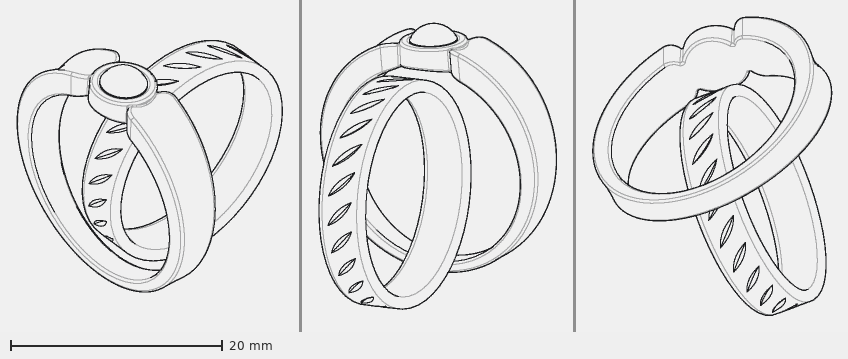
import cadquery as cq
import math

BAND_OUTER_RADIUS = 10.91
BAND_INNER_RADIUS = 9.75
BAND_WIDTH = 4.9

GROOVE_COUNT = 24
GROOVE_SLANT = 45
GROOVE_LENGTH = 3.55
GROOVE_WIDTH = 0.72
GROOVE_DEPTH = 0.3
WHEEL_RIM_HEIGHT = 0.77

SIGNET_TILT = 5.4
SIGNET_CENTRE = (0, -8.62, 1.55)
BORE_RADIUS = 9.75
OUTER_RADIUS = 11.76
OUTER_CENTRE_Z = 0.93
SIGNET_HALF_WIDTH = 2.05
SIDE_ANGLE = 4.1
SIGNET_FILLET = 0.23

HOLLOW_START = 60
ARM_END_ANGLE = 175
HOLLOW_DEPTH = 0.88
HOLLOW_LEAST_DEPTH = 0.03

TRIM_SECTIONS = 10
TRIM_WIDENING = 1.2
TRIM_MARGIN = 1.03

ARM_CORNER_X = 4.33
ARM_CORNER_RADIUS = 1.7
ARM_CORNER_ANGLE = 75

COLLAR_RADIUS = 3.22
COLLAR_TOP = 11.92
COLLAR_CORNER_FILLET = 0.15
GEM_RADIUS = 2.27
GEM_HEIGHT = 1.47
SEAT_DEPTH = 0.52

CLEAR = 5.15
RIM_ZONE = 0.7
TOLERANCE = 0.013


def half_width(z):
    """Half of the tapered signet ring's width at height z."""
    return SIGNET_HALF_WIDTH + z * math.tan(math.radians(SIDE_ANGLE))




def groove_wheel():
    """Sharp-rimmed wheel standing over the top of the band, whose rim cuts one lens-shaped groove."""
    half_length = GROOVE_LENGTH / 2
    band_curvature = math.sin(math.radians(GROOVE_SLANT)) ** 2 / BAND_OUTER_RADIUS
    wheel_radius = 1 / (2 * GROOVE_DEPTH / half_length**2 - band_curvature)
    half_thickness = WHEEL_RIM_HEIGHT * GROOVE_WIDTH / 2 / GROOVE_DEPTH
    hub_radius = wheel_radius - WHEEL_RIM_HEIGHT
    wheel = (
        cq.Workplane("XZ")
        .moveTo(0, half_thickness)
        .lineTo(hub_radius, half_thickness)
        .lineTo(wheel_radius, 0)
        .lineTo(hub_radius, -half_thickness)
        .lineTo(0, -half_thickness)
        .close()
        .revolve(360, (0, 0), (0, 1))
    )
    return (
        wheel.rotate((0, 0, 0), (1, 0, 0), 90)
        .rotate((0, 0, 0), (0, 0, 1), GROOVE_SLANT)
        .translate((0, 0, BAND_OUTER_RADIUS - GROOVE_DEPTH + wheel_radius))
    )


def make_band():
    """Band with fully rounded side edges and a row of grooves all around."""
    thickness = BAND_OUTER_RADIUS - BAND_INNER_RADIUS
    middle_radius = BAND_INNER_RADIUS + thickness / 2
    band = (
        cq.Workplane("XZ", origin=(0, 0, middle_radius))
        .slot2D(BAND_WIDTH, thickness)
        .revolve(360, (0, -middle_radius), (1, -middle_radius))
    )
    wheel = groove_wheel()
    for i in range(GROOVE_COUNT):
        band = band.cut(wheel.rotate((0, 0, 0), (1, 0, 0), i * 360 / GROOVE_COUNT))
    return band




def tapered_disc():
    """Oversized disc blank for the ring, narrower at the bottom than at the top."""
    blank_radius = OUTER_RADIUS + TRIM_MARGIN
    low = OUTER_CENTRE_Z - blank_radius
    high = OUTER_CENTRE_Z + blank_radius
    wedge = (
        cq.Workplane("YZ")
        .moveTo(-half_width(low), low)
        .lineTo(half_width(low), low)
        .lineTo(half_width(high), high)
        .lineTo(-half_width(high), high)
        .close()
        .extrude(blank_radius, both=True)
    )
    disc = (
        cq.Workplane("XZ")
        .center(0, OUTER_CENTRE_Z)
        .circle(blank_radius)
        .extrude(CLEAR, both=True)
    )
    return disc.intersect(wedge)


def trim_section(degrees):
    """Section of the outer trim at an angle from the bottom: an arc floor open to the outside."""
    share = max(0, (abs(degrees) - HOLLOW_START) / (ARM_END_ANGLE - HOLLOW_START))
    depth = HOLLOW_LEAST_DEPTH + HOLLOW_DEPTH * share
    floor = OUTER_RADIUS - depth
    rim = floor + depth * TRIM_WIDENING**2
    outside = OUTER_RADIUS + 2 * TRIM_MARGIN

    angle = math.radians(degrees)
    edge = half_width(OUTER_CENTRE_Z - OUTER_RADIUS * math.cos(angle))
    reach = edge * TRIM_WIDENING
    plane = cq.Plane(
        origin=(0, 0, OUTER_CENTRE_Z),
        xDir=(math.sin(angle), 0, -math.cos(angle)),
        normal=(math.cos(angle), 0, math.sin(angle)),
    )
    return (
        cq.Workplane(plane)
        .moveTo(rim, -reach)
        .threePointArc((floor, 0), (rim, reach))
        .lineTo(outside, reach)
        .lineTo(outside, -reach)
        .close()
        .val()
    )


def outer_trim():
    """C-shaped cutter that leaves the outer face: round below, hollowed along both arms."""
    sections = []
    for i in range(-TRIM_SECTIONS, TRIM_SECTIONS + 1):
        sections.append(trim_section(i / TRIM_SECTIONS * ARM_END_ANGLE))
    return cq.Workplane(cq.Solid.makeLoft(sections))


def arm_corner_point(turn):
    """Point on the rounded arm end, turned by an angle in radians from the straight side."""
    return (
        ARM_CORNER_X - ARM_CORNER_RADIUS * math.sin(turn),
        SIGNET_HALF_WIDTH - ARM_CORNER_RADIUS * (1 - math.cos(turn)),
    )


def arm_end_cutter():
    """Cutter parallel to the +Y side face that rounds off both arm ends beside the collar."""
    full_turn = math.radians(ARM_CORNER_ANGLE)
    middle_x, middle_y = arm_corner_point(full_turn / 2)
    end_x, end_y = arm_corner_point(full_turn)
    tilt = math.radians(SIDE_ANGLE)
    plane = cq.Plane(origin=(0, 0, 0), xDir=(1, 0, 0), normal=(0, math.sin(tilt), math.cos(tilt)))
    return (
        cq.Workplane(plane)
        .moveTo(ARM_CORNER_X, SIGNET_HALF_WIDTH)
        .threePointArc((middle_x, middle_y), (end_x, end_y))
        .lineTo(-end_x, end_y)
        .threePointArc((-middle_x, middle_y), (-ARM_CORNER_X, SIGNET_HALF_WIDTH))
        .lineTo(-ARM_CORNER_X, CLEAR)
        .lineTo(ARM_CORNER_X, CLEAR)
        .close()
        .extrude(OUTER_RADIUS + CLEAR)
    )


def fillet_where(body, wanted, radius):
    """Fillet every edge of the body for which wanted(edge) is true."""
    chosen = [edge for edge in body.edges().vals() if wanted(edge)]
    return body.newObject(chosen).fillet(radius)


def is_rim_edge(edge):
    """True where the outer face meets the side faces and the rounded arm ends."""
    middle = edge.positionAt(0.5)
    from_outer_centre = math.hypot(middle.x, middle.z - OUTER_CENTRE_Z)
    return abs(middle.y) > SIGNET_HALF_WIDTH / 2 and from_outer_centre > OUTER_RADIUS - RIM_ZONE


def is_collar_corner(edge):
    """True for the upright inner corners between the collar wall and the arm ends."""
    points = edge.positions([0, 0.5, 1])
    on_wall = all(abs(math.hypot(p.x, p.y) - COLLAR_RADIUS) < TOLERANCE for p in points)
    off_middle = all(abs(p.y) > COLLAR_RADIUS / 3 for p in points)
    return on_wall and off_middle and abs(points[0].z - points[-1].z) > COLLAR_RADIUS / 3


def is_bore_edge(edge):
    """True for every edge that lies on the bore."""
    points = edge.positions([0, 0.3, 0.5, 0.8, 1])
    return all(abs(math.hypot(p.x, p.z) - BORE_RADIUS) < TOLERANCE for p in points)


def is_seat_edge(edge):
    """True for the rim of the gem seat in the top of the collar."""
    middle = edge.positionAt(0.5)
    on_seat_wall = abs(math.hypot(middle.x, middle.y) - GEM_RADIUS) < TOLERANCE
    return on_seat_wall and edge.geomType() == "CIRCLE" and abs(middle.z - COLLAR_TOP) < TOLERANCE


def make_arms():
    """Ring blank with hollowed, rounded arms and room for the collar between them."""
    bore_free_blank = tapered_disc().cut(outer_trim())
    end_cutter = arm_end_cutter()
    arms = bore_free_blank.cut(end_cutter).cut(end_cutter.mirror("XZ"))
    arms = fillet_where(arms, is_rim_edge, SIGNET_FILLET)
    return arms.cut(cq.Workplane("XY").circle(COLLAR_RADIUS).extrude(OUTER_RADIUS + CLEAR))


def make_signet(gem):
    """Arms and collar as one ring, bored through, with a seat that fits the gem."""
    collar = (
        cq.Workplane("XY")
        .circle(COLLAR_RADIUS)
        .extrude(COLLAR_TOP)
        .faces(">Z")
        .edges()
        .fillet(SIGNET_FILLET)
    )
    bore = cq.Workplane("XZ").circle(BORE_RADIUS).extrude(CLEAR, both=True)
    signet = make_arms().union(collar).cut(bore)
    signet = fillet_where(signet, is_collar_corner, COLLAR_CORNER_FILLET)
    signet = fillet_where(signet, is_bore_edge, SIGNET_FILLET)
    signet = signet.cut(gem)
    return fillet_where(signet, is_seat_edge, SIGNET_FILLET)




def make_gem():
    """Round gem with a flat base in the collar and a spherical dome above it."""
    dome_radius = (GEM_RADIUS**2 + GEM_HEIGHT**2) / (2 * GEM_HEIGHT)
    dome_centre_z = COLLAR_TOP + GEM_HEIGHT - dome_radius
    half_arc = math.asin(GEM_RADIUS / dome_radius) / 2
    dome_middle = (dome_radius * math.sin(half_arc), dome_centre_z + dome_radius * math.cos(half_arc))
    return (
        cq.Workplane("XZ")
        .moveTo(0, COLLAR_TOP - SEAT_DEPTH)
        .lineTo(GEM_RADIUS, COLLAR_TOP - SEAT_DEPTH)
        .lineTo(GEM_RADIUS, COLLAR_TOP)
        .threePointArc(dome_middle, (0, COLLAR_TOP + GEM_HEIGHT))
        .close()
        .revolve(360, (0, 0), (0, 1))
    )




def place(body):
    """Tilt a body of the signet ring about X and move it to the ring's place."""
    return body.rotate((0, 0, 0), (1, 0, 0), -SIGNET_TILT).translate(SIGNET_CENTRE)


band = make_band()
upright_gem = make_gem()
signet = place(make_signet(upright_gem))
gem = place(upright_gem)

result = cq.Compound.makeCompound([band.solids().val(), signet.solids().val(), gem.solids().val()])